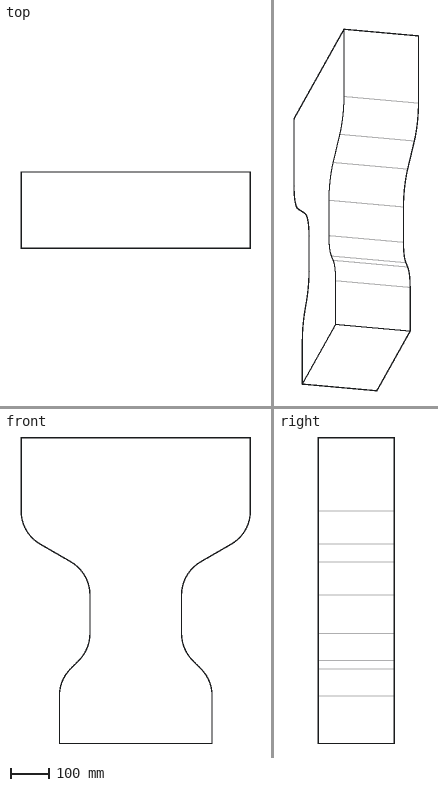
import cadquery as cq
import math

height = 800.0
thickness = 200.0

head_half_width = 300.0
web_half_width = 120.0
foot_half_width = 200.0

head_side_height = 250.0
web_height = 200.0

head_slope_angle = 30.0
foot_slope_angle = 45.0
corner_radius = 100.0

head_slope_drop = (head_half_width - web_half_width) * math.tan(math.radians(head_slope_angle))
foot_slope_rise = (foot_half_width - web_half_width) * math.tan(math.radians(foot_slope_angle))
head_side_bottom = height - head_side_height
web_top = head_side_bottom - head_slope_drop
web_bottom = web_top - web_height
foot_side_top = web_bottom - foot_slope_rise


def make_blank():
    """Sharp-cornered profile in XZ, mirrored about Z and extruded along Y."""
    right_side = [
        (foot_half_width, 0),
        (foot_half_width, foot_side_top),
        (web_half_width, web_bottom),
        (web_half_width, web_top),
        (head_half_width, head_side_bottom),
        (head_half_width, height),
    ]
    left_side = [(-x, z) for x, z in reversed(right_side)]
    profile = cq.Workplane("XZ").polyline(right_side + left_side).close()
    return profile.extrude(thickness / 2, both=True)


def round_shoulders(body):
    """Round every edge along Y except those of the flat top and bottom faces."""
    return body.edges("|Y").edges("not(<Z or >Z)").fillet(corner_radius)


result = round_shoulders(make_blank())